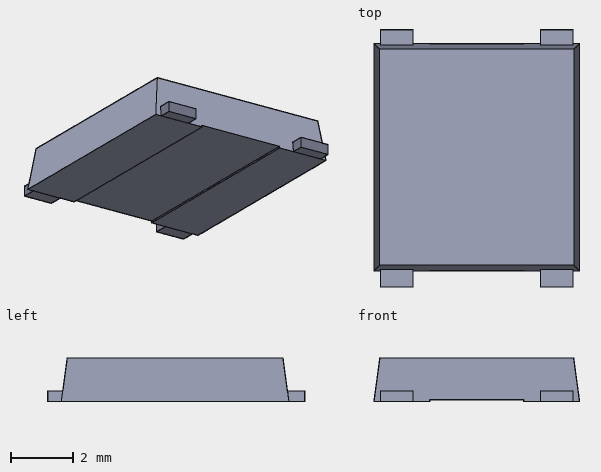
import cadquery as cq

TOTAL_LENGTH = 8.25
BODY_WIDTH = 6.6
BODY_HEIGHT = 1.4

LEAD_WIDTH = 1.05
LEAD_HEIGHT = 0.35
LEAD_SIDE_INSET = 0.215
FRONT_LEAD_REACH = 0.51
BACK_LEAD_REACH = 0.44

TOP_INSET = 0.19
RELIEF_WIDTH = 3.0
RELIEF_DEPTH = 0.06

FRONT_END = -TOTAL_LENGTH / 2
BACK_END = TOTAL_LENGTH / 2
BODY_LENGTH = TOTAL_LENGTH - FRONT_LEAD_REACH - BACK_LEAD_REACH
BODY_CENTER_Y = (FRONT_LEAD_REACH - BACK_LEAD_REACH) / 2
LEAD_CENTER_X = BODY_WIDTH / 2 - LEAD_SIDE_INSET - LEAD_WIDTH / 2


def make_tapered_block():
    """Block with four walls that lean inward towards the top."""
    return (
        cq.Workplane("XY", origin=(0, BODY_CENTER_Y, 0))
        .rect(BODY_WIDTH, BODY_LENGTH)
        .workplane(offset=BODY_HEIGHT)
        .rect(BODY_WIDTH - 2 * TOP_INSET, BODY_LENGTH - 2 * TOP_INSET)
        .loft(ruled=True)
    )


def make_housing():
    """Tapered block with a shallow relief running along Y under its base."""
    relief = cq.Workplane("XY").box(
        RELIEF_WIDTH, TOTAL_LENGTH, RELIEF_DEPTH, centered=(True, True, False)
    )
    return make_tapered_block().cut(relief)


def make_lead(center_x, outer_y):
    """Flat lead from outer_y inward, its inner end flush against the sloped wall."""
    bar_length = abs(outer_y)
    bar = (
        cq.Workplane("XY", origin=(center_x, outer_y / 2, 0))
        .box(LEAD_WIDTH, bar_length, LEAD_HEIGHT, centered=(True, True, False))
    )
    return bar.cut(make_tapered_block()).solids()


housing = make_housing().solids()

leads = []
for lead_x in (-LEAD_CENTER_X, LEAD_CENTER_X):
    for lead_end in (FRONT_END, BACK_END):
        leads.append(make_lead(lead_x, lead_end).val())

result = cq.Compound.makeCompound([housing.val(), *leads])